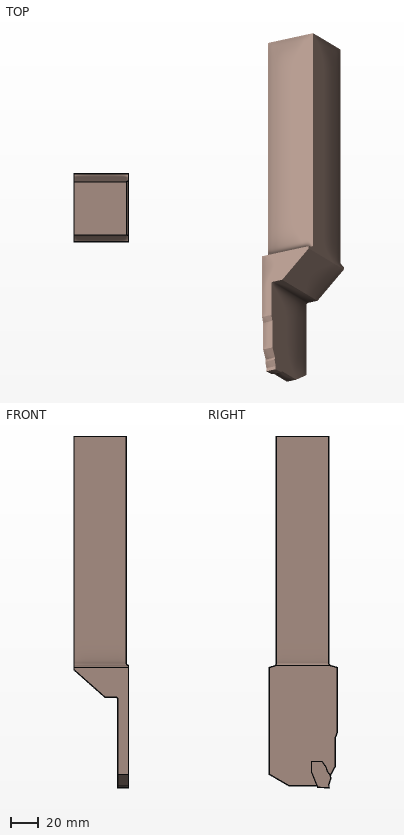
import cadquery as cq
import math

total_height = 254.0
head_width = 39.4
head_depth = 49.3

shank_width = 37.8
shank_front = 5.0
shank_depth = 38.0
shank_back = shank_front + shank_depth

shoulder_edge_z = 87.0
shoulder_angle = math.radians(15)
shoulder_blend = 2.0
step_z = 88.6
step_blend = head_width - shank_width

gusset_top_z = 85.3
gusset_foot_x = 22.4
gusset_bottom_z = 65.5
blade_thickness = 8.0
blade_x = head_width - blade_thickness
blade_blend = 1.3

blade_bottom_z = 1.5
front_chamfer_depth = 14.5
front_chamfer_top_z = 10.0
relief_depth = 1.5
relief_start_z = 40.1
relief_end_z = 36.0
nose_top_z = 15.5
nose_bottom_y = 40.1

insert_inner_y = 30.5
insert_top_z = 19.0
insert_top_y = 38.4
insert_inner_z = 12.0
insert_heel = (35.0, 0.5)
insert_tip = (43.5, 0.0)
insert_tip_flank = (43.2, 2.5)
insert_corner = (44.7, 7.0)
insert_seat_outer = (44.2, 9.0)
insert_seat_lower = (42.0, 12.5)
insert_seat_upper = (41.1, 15.0)


def make_side_profile():
    """Shank, gusset and blade outline in XZ, extruded over the full depth."""
    profile = (
        cq.Workplane("XZ")
        .moveTo(0, total_height)
        .lineTo(shank_width, total_height)
        .lineTo(shank_width, step_z + step_blend)
        .radiusArc((head_width, step_z), -step_blend)
        .lineTo(head_width, 0)
        .lineTo(blade_x, 0)
        .lineTo(blade_x, gusset_bottom_z - blade_blend)
        .radiusArc((blade_x - blade_blend, gusset_bottom_z), -blade_blend)
        .lineTo(gusset_foot_x, gusset_bottom_z)
        .lineTo(0, gusset_top_z)
        .close()
    )
    return profile.extrude(-head_depth)


def make_face_profile():
    """Shank, shoulders and blade outline in YZ, extruded over the full width."""
    slope = math.tan(shoulder_angle)
    front_root_z = shoulder_edge_z + shank_front * slope
    back_root_z = shoulder_edge_z + (head_depth - shank_back) * slope
    relief_y = head_depth - relief_depth

    profile = (
        cq.Workplane("YZ")
        .moveTo(shank_front, total_height)
        .lineTo(shank_front, front_root_z)
        .lineTo(0, shoulder_edge_z)
        .lineTo(0, front_chamfer_top_z)
        .lineTo(front_chamfer_depth, blade_bottom_z)
        .lineTo(nose_bottom_y, blade_bottom_z)
        .lineTo(relief_y, nose_top_z)
        .lineTo(relief_y, relief_end_z)
        .lineTo(head_depth, relief_start_z)
        .lineTo(head_depth, shoulder_edge_z)
        .lineTo(shank_back, back_root_z)
        .lineTo(shank_back, total_height)
        .close()
        .extrude(head_width)
    )
    for root in ((shank_front, front_root_z), (shank_back, back_root_z)):
        root_edge = cq.selectors.NearestToPointSelector((head_width / 2, *root))
        profile = profile.edges("|X").edges(root_edge).fillet(shoulder_blend)
    return profile


def make_insert():
    """Cutting insert, as thick as the blade, with its tip beyond the nose."""
    outline = [
        (insert_top_y, insert_top_z),
        (insert_inner_y, insert_top_z),
        (insert_inner_y, insert_inner_z),
        insert_heel,
        insert_tip,
        insert_tip_flank,
        insert_corner,
        insert_seat_outer,
        insert_seat_lower,
        insert_seat_upper,
    ]
    return (
        cq.Workplane("YZ", origin=(blade_x, 0, 0))
        .polyline(outline)
        .close()
        .extrude(blade_thickness)
    )


insert = make_insert()

holder = make_side_profile().intersect(make_face_profile()).cut(insert)

result = cq.Compound.makeCompound([holder.val(), insert.val()])